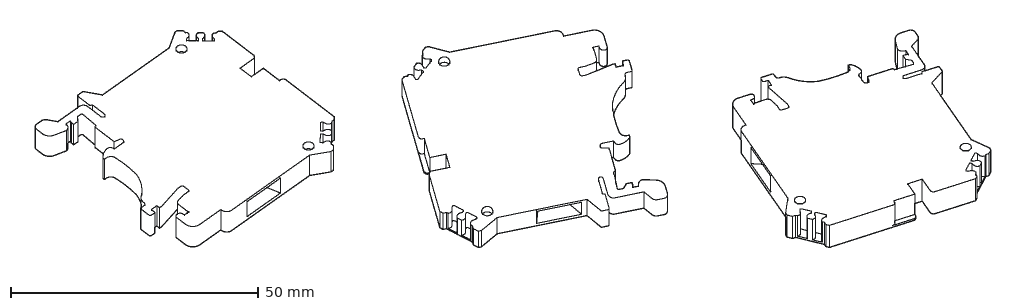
import cadquery as cq
import math


THICKNESS = 6.1
HEIGHT = 45.8
FOOT_REACH = 23.93
BODY_HALF_WIDTH = 20.5
TIP_HALF_WIDTH = 22.8

FOOT_RADIUS = 2.05
HOOK_OUTER_X = 18.86
HOOK_BASE_Y = 3.57
RELIEF_TOP_Y = 10.55
LEG_OUTER_X = -21.46
LEG_INNER_X = -19.67
SPRING_SLOT_Y = (11.8, 12.8)
SPRING_SLOT_END_X = -16.4

NECK_Y = 34.86
TIP_LOW_Y = 38.7
SHOULDER_SUM = 62.15
RECESS_DEPTH = 0.5
RECESS_TOP_X = 16.91
RECESS_LOW_Y = 40.18

NOTCH_LEFT = -6.5
NOTCH_RIGHT = -3.25
NOTCH_FLOOR_Y = 41.33
TOP_CORNER_RADIUS = 0.75
LEDGE_END_X = 1.46
LEDGE_Y = 44.72

BACK_SKIN = 0.5

SLOT_OFFSET = 1.6
SLOT_DEPTH = 2.24
BEAD_RADIUS = 0.88
BEAD_DEPTH = 0.72
BEAD_EXIT_ANGLE = 35.0
SLOT_FLOOR_HALF = 1.22
SLOT_FLANK_DEPTH = 1.75
SLOT_CORNER_RADIUS = 0.2

PIN_X = 18.53
PIN_Y = 36.45
PIN_DIAMETER = 2.25
PIN_DEPTH = 2.0

FUNNEL_DEPTH = 4.6
FUNNEL_MOUTH_Y = (17.3, 26.66)
FUNNEL_MOUTH_Z = (0.95, 5.4)
FUNNEL_END_Y = (20.25, 25.1)
FUNNEL_END_Z = (1.13, 5.4)


def corner_arc(before, corner, after, radius):
    """Start, middle and end of the arc that rounds a corner."""
    to_before = (cq.Vector(*before) - cq.Vector(*corner)).normalized()
    to_after = (cq.Vector(*after) - cq.Vector(*corner)).normalized()
    half_angle = to_before.getAngle(to_after) / 2
    setback = radius / math.tan(half_angle)
    bulge = radius / math.sin(half_angle) - radius
    bisector = (to_before + to_after).normalized()
    apex = cq.Vector(*corner)
    points = (apex + to_before * setback, apex + bisector * bulge, apex + to_after * setback)
    return [(p.x, p.y) for p in points]


def end_point(step):
    """Last point of an outline step."""
    return step[1] if len(step) == 2 else step[:2]


def draw_outline(steps):
    """Closed outline from corners (x, y, radius) and arcs (via point, end point).

    The first step and every corner next to an arc are sharp.
    """
    sketch = cq.Workplane("XY").moveTo(*end_point(steps[0]))
    for index in range(1, len(steps)):
        step = steps[index]
        if len(step) == 2:
            sketch = sketch.threePointArc(*step)
        elif step[2] == 0:
            sketch = sketch.lineTo(*end_point(step))
        else:
            before = end_point(steps[index - 1])
            after = end_point(steps[(index + 1) % len(steps)])
            start, middle, end = corner_arc(before, end_point(step), after, step[2])
            sketch = sketch.lineTo(*start).threePointArc(middle, end)
    return sketch.close()


RECESS_SUM = SHOULDER_SUM - RECESS_DEPTH * math.sqrt(2)


def shoulder_corners(side):
    """Marker shoulder from the neck up to the top edge; side is -1 left, +1 right."""
    corners = [
        (BODY_HALF_WIDTH, NECK_Y),
        (TIP_HALF_WIDTH, TIP_LOW_Y),
        (TIP_HALF_WIDTH, SHOULDER_SUM - TIP_HALF_WIDTH),
        (SHOULDER_SUM - RECESS_LOW_Y, RECESS_LOW_Y),
        (RECESS_SUM - RECESS_LOW_Y, RECESS_LOW_Y),
        (RECESS_TOP_X, RECESS_SUM - RECESS_TOP_X),
        (RECESS_TOP_X, SHOULDER_SUM - RECESS_TOP_X),
        (SHOULDER_SUM - HEIGHT, HEIGHT),
    ]
    return [(side * x, y, 0) for x, y in corners]


def notch_corners():
    """Screwdriver notch in the top edge, left to right."""
    return [
        (NOTCH_LEFT, HEIGHT, TOP_CORNER_RADIUS),
        (NOTCH_LEFT, NOTCH_FLOOR_Y, 0),
        (NOTCH_RIGHT, NOTCH_FLOOR_Y, 0),
        (NOTCH_RIGHT, HEIGHT, TOP_CORNER_RADIUS),
    ]


def right_foot():
    """Right shoulder and fixed hook, down the right side and back to the slot."""
    return [
        (BODY_HALF_WIDTH, 12.79, 0),
        ((20.0, 11.9), (HOOK_OUTER_X, 11.52)),
        (HOOK_OUTER_X, HOOK_BASE_Y, FOOT_RADIUS),
        (13.6, HOOK_BASE_Y, 0.65),
        (13.6, 5.17, 0.9),
        (14.81, 5.17, 0),
        (14.81, 6.55, 0),
        (14.5, 6.34, 0),
        (11.2, 6.34, 0.9),
        (10.73, 9.0, 0),
    ]


def middle_leg():
    """Slotted leg and the small toe right of the rail saddle."""
    return [
        (10.73, RELIEF_TOP_Y, 0.35),
        (8.63, RELIEF_TOP_Y, 0.5),
        (8.63, 9.3, 0),
        (9.93, 3.5, 0),
        (9.93, 2.95, 0),
        (9.11, 2.95, 0),
        (9.11, 1.4, 0),
        (10.24, 1.4, 0.2),
        (10.24, 0, 0.4),
        (7.32, 0, 0.2),
        (7.32, 1.6, 0.55),
        (6.6, 1.65, 0),
        ((5.75, 1.85), (5.1, 2.4)),
    ]


def rail_saddle():
    """Arched edge and the pointed hook at its left end."""
    return [
        ((3.05, 4.5), (0, 5.95)),
        ((-3.25, 6.18), (-6.3, 6.03)),
        ((-7.1, 5.6), (-7.45, 4.75)),
        (-7.45, 4.2, 0),
        (-7.97, 4.2, 0),
        ((-8.8, 5.3), (-9.2, 6.7)),
        ((-9.0, 7.2), (-8.5, 7.5)),
        (-8.11, 7.7, 0),
        (-8.11, RELIEF_TOP_Y, 0.55),
        (-9.2, RELIEF_TOP_Y, 0.4),
        (-9.54, 8.93, 0),
    ]


def left_foot():
    """Spring leg with its latch foot, up to the flared wall above the spring slot."""
    slot_radius = (SPRING_SLOT_Y[1] - SPRING_SLOT_Y[0]) / 2
    slot_middle_y = SPRING_SLOT_Y[0] + slot_radius
    return [
        (-15.2, 8.93, 0),
        (-15.4, 9.4, 0),
        (LEG_INNER_X, 9.6, 0.3),
        (LEG_INNER_X, 8.35, 0.4),
        (-18.68, 7.6, 0),
        (-18.68, 6.34, 0),
        (-19.35, 6.34, 0),
        (-19.84, 6.5, 0),
        (-19.84, 5.25, 0),
        ((-18.9, 4.95), (-18.5, 4.1)),
        (-19.68, 0, FOOT_RADIUS),
        (-FOOT_REACH, 0, 1.0),
        (-FOOT_REACH, 2.98, 1.2),
        (LEG_OUTER_X, 4.57, 0),
        (LEG_OUTER_X, SPRING_SLOT_Y[0], 1.2),
        (SPRING_SLOT_END_X, SPRING_SLOT_Y[0], 0),
        ((SPRING_SLOT_END_X + slot_radius, slot_middle_y), (SPRING_SLOT_END_X, SPRING_SLOT_Y[1])),
        (-19.95, SPRING_SLOT_Y[1], 0),
        (-20.1, 12.32, 0.2),
        (-FOOT_REACH, 12.32, 0.3),
        (-FOOT_REACH, 14.0, 0.2),
        (-BODY_HALF_WIDTH, 16.18, 0),
    ]


def make_plate():
    steps = shoulder_corners(-1) + notch_corners() + shoulder_corners(1)[::-1]
    steps += right_foot() + middle_leg() + rail_saddle() + left_foot()
    return draw_outline(steps).extrude(THICKNESS)


def make_ledge():
    """Clearance above the sunken ledge right of the notch."""
    top = HEIGHT + TOP_CORNER_RADIUS
    return (
        cq.Workplane("XY", origin=(0, 0, BACK_SKIN))
        .moveTo(NOTCH_RIGHT, LEDGE_Y)
        .lineTo(LEDGE_END_X, LEDGE_Y)
        .lineTo(LEDGE_END_X, HEIGHT - TOP_CORNER_RADIUS)
        .radiusArc((LEDGE_END_X + TOP_CORNER_RADIUS, HEIGHT), TOP_CORNER_RADIUS)
        .lineTo(LEDGE_END_X + TOP_CORNER_RADIUS, top)
        .lineTo(NOTCH_RIGHT, top)
        .close()
        .extrude(THICKNESS - BACK_SKIN)
    )


def make_marker_slot(axis_x):
    """Dovetail slot in local axes: x along the recessed edge, -y into the part."""
    mouth_half = SLOT_OFFSET - math.sqrt(BEAD_RADIUS**2 - BEAD_DEPTH**2)
    neck_half = SLOT_OFFSET - BEAD_RADIUS
    exit_angle = math.radians(BEAD_EXIT_ANGLE)
    exit_half = SLOT_OFFSET - BEAD_RADIUS * math.cos(exit_angle)
    exit_depth = BEAD_DEPTH + BEAD_RADIUS * math.sin(exit_angle)
    steps = [
        (axis_x - mouth_half, 0, 0),
        (axis_x - mouth_half, RECESS_DEPTH, 0),
        (axis_x + mouth_half, RECESS_DEPTH, 0),
        (axis_x + mouth_half, 0, 0),
        ((axis_x + neck_half, -BEAD_DEPTH), (axis_x + exit_half, -exit_depth)),
        (axis_x + SLOT_FLOOR_HALF, -SLOT_FLANK_DEPTH, 0),
        (axis_x + SLOT_FLOOR_HALF, -SLOT_DEPTH, SLOT_CORNER_RADIUS),
        (axis_x - SLOT_FLOOR_HALF, -SLOT_DEPTH, SLOT_CORNER_RADIUS),
        (axis_x - SLOT_FLOOR_HALF, -SLOT_FLANK_DEPTH, 0),
        (axis_x - exit_half, -exit_depth, 0),
        ((axis_x - neck_half, -BEAD_DEPTH), (axis_x - mouth_half, 0)),
    ]
    return draw_outline(steps).extrude(THICKNESS - BACK_SKIN)


def make_marker_slots():
    """Both slots of the right shoulder, set on the middle of its recessed edge."""
    middle_x = (RECESS_TOP_X + RECESS_SUM - RECESS_LOW_Y) / 2
    slots = make_marker_slot(-SLOT_OFFSET).union(make_marker_slot(SLOT_OFFSET))
    turned = slots.rotate((0, 0, 0), (0, 0, 1), -45)
    return turned.translate((middle_x, RECESS_SUM - middle_x, BACK_SKIN))


def make_pin_hole():
    hole = cq.Workplane("XY", origin=(PIN_X, PIN_Y, THICKNESS - PIN_DEPTH))
    return hole.circle(PIN_DIAMETER / 2).extrude(PIN_DEPTH)


def rectangle_wire(x, y_range, z_range):
    """Rectangle in the plane at x, spanning the given Y and Z ranges."""
    corners = [
        cq.Vector(x, y_range[0], z_range[0]),
        cq.Vector(x, y_range[1], z_range[0]),
        cq.Vector(x, y_range[1], z_range[1]),
        cq.Vector(x, y_range[0], z_range[1]),
    ]
    return cq.Wire.makePolygon(corners, close=True)


def make_wire_funnel():
    """Tapered wire entry in the right wall."""
    mouth = rectangle_wire(BODY_HALF_WIDTH, FUNNEL_MOUTH_Y, FUNNEL_MOUTH_Z)
    end = rectangle_wire(BODY_HALF_WIDTH - FUNNEL_DEPTH, FUNNEL_END_Y, FUNNEL_END_Z)
    return cq.Workplane("XY").add(cq.Solid.makeLoft([mouth, end], True))


result = make_plate().cut(make_ledge())
for right_cut in (make_marker_slots(), make_pin_hole(), make_wire_funnel()):
    result = result.cut(right_cut).cut(right_cut.mirror("YZ"))